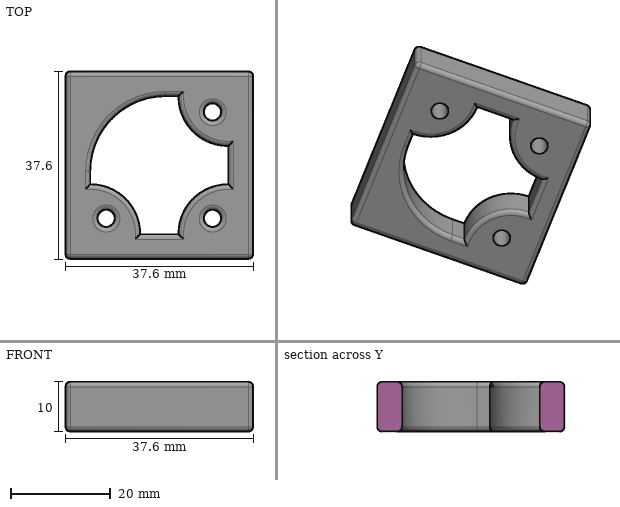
import cadquery as cq
import math

plate_size = 37.6
plate_thickness = 10.0
edge_round = 1.0

rim_width = 5.0
window_half = plate_size / 2 - rim_width
window_corner_radius = 15.0
lobe_radius = 10.0

hole_diameter = 3.4
hole_spacing = 21.3
hole_offset = hole_spacing / 2


def rounded_plate():
    """Square plate, centred on the Z axis, with every outer edge rounded."""
    plate = cq.Workplane("XY").box(
        plate_size, plate_size, plate_thickness, centered=(True, True, False)
    )
    return plate.edges().fillet(edge_round)


def window_cutter():
    """Square prism with one round corner and three corners cut away by the lobes."""
    diagonal = math.cos(math.radians(45))
    lobe_end = window_half - lobe_radius
    lobe_middle = window_half - lobe_radius * diagonal
    round_center = window_corner_radius - window_half
    round_middle = window_corner_radius * diagonal - round_center

    outline = (
        cq.Workplane("XY")
        .moveTo(-window_half, -lobe_end)
        .lineTo(-window_half, -round_center)
        .threePointArc((-round_middle, round_middle), (round_center, window_half))
        .lineTo(lobe_end, window_half)
        .threePointArc((lobe_middle, lobe_middle), (window_half, lobe_end))
        .lineTo(window_half, -lobe_end)
        .threePointArc((lobe_middle, -lobe_middle), (lobe_end, -window_half))
        .lineTo(-lobe_end, -window_half)
        .threePointArc((-lobe_middle, -lobe_middle), (-window_half, -lobe_end))
        .close()
    )
    return outline.extrude(plate_thickness)


def cut_window(body):
    """Cut the window and round its mouth on the top and bottom faces."""
    reach = window_half + rim_width / 2
    inside_rim = cq.selectors.BoxSelector(
        (-reach, -reach, -edge_round),
        (reach, reach, plate_thickness + edge_round),
    )
    body = body.cut(window_cutter())
    return body.faces("|Z").edges(inside_rim).fillet(edge_round)


def cut_screw_holes(body):
    """Drill the three through holes and round their top mouths."""
    hole_centers = [
        (hole_offset, hole_offset),
        (hole_offset, -hole_offset),
        (-hole_offset, -hole_offset),
    ]
    drills = (
        cq.Workplane("XY")
        .pushPoints(hole_centers)
        .circle(hole_diameter / 2)
        .extrude(plate_thickness)
    )
    smallest_circles = cq.selectors.RadiusNthSelector(0)
    body = body.cut(drills)
    return body.faces(">Z").edges("%CIRCLE").edges(smallest_circles).fillet(edge_round)


result = cut_screw_holes(cut_window(rounded_plate()))